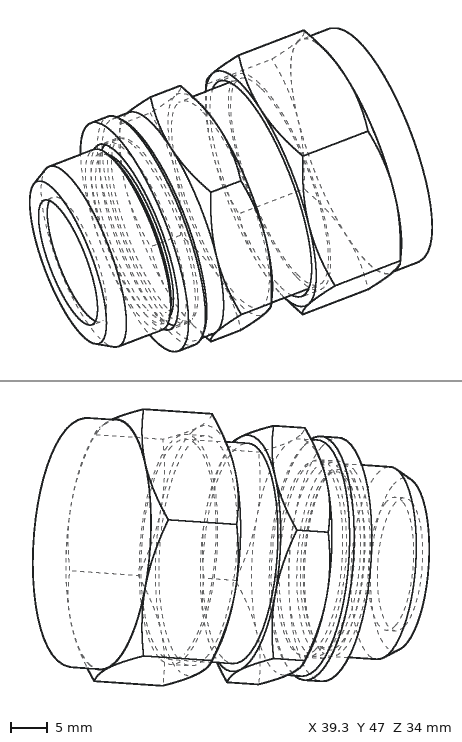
import cadquery as cq
import math

TOTAL_LENGTH = 47.0
TIP_CHAMFER_LENGTH = 2.35
THREAD_END = 9.02
THREAD_RUNOUT_END = 9.5
GROOVE_START = 10.0
COLLAR_START = 11.3
WASHER_START = 10.0
WASHER_THICKNESS = 2.55
FLANGE_START = 13.0
SMALL_HEX_START = 15.55
SMALL_HEX_END = 22.95
LARGE_HEX_START = 29.05
LARGE_HEX_END = 41.92

TIP_RADIUS = 11.75
THREAD_RADIUS = 13.05
RUNOUT_RADIUS = 12.25
GROOVE_RADIUS = 11.95
COLLAR_RADIUS = 13.2
WASHER_RADIUS = 16.55
WASHER_BORE_RADIUS = 13.4
BARREL_RADIUS = 14.95
CAP_RADIUS = 16.9
CAP_FILLET = 1.1

LARGE_HEX_FLATS = 34.0
SMALL_HEX_FLATS = 32.05
FLANGE_RADIUS = SMALL_HEX_FLATS / 2
HEX_SIDES = 6
HEX_HALF_ANGLE = 180 / HEX_SIDES
HEX_CHAMFER_ANGLE = 30.0

TIP_RECESS_RADIUS = 9.02
TIP_RECESS_DEPTH = 1.3
NUT_RECESS_RADIUS = 15.6
NUT_RECESS_DEPTH = 2.8


def revolve_profile(points):
    """Revolve a closed (radius, y) outline about the Y axis."""
    return cq.Workplane("XY").polyline(points).close().revolve(360, (0, 0, 0), (0, 1, 0))


def ring(inner_radius, outer_radius, start, end):
    """Make a plain ring about the Y axis."""
    return revolve_profile([
        (inner_radius, start),
        (outer_radius, start),
        (outer_radius, end),
        (inner_radius, end),
    ])


def chamfered_hexagon(flats, start, end):
    """Make a hexagonal prism with its corners coned off at both ends."""
    corner_radius = flats / 2 / math.cos(math.radians(HEX_HALF_ANGLE))
    flat_radius = flats / 2
    drop = (corner_radius - flat_radius) * math.tan(math.radians(HEX_CHAMFER_ANGLE))
    prism = (
        cq.Workplane("XZ", origin=(0, start, 0))
        .polygon(HEX_SIDES, 2 * corner_radius)
        .extrude(start - end)
    )
    envelope = revolve_profile([
        (0, start),
        (flat_radius, start),
        (corner_radius, start + drop),
        (corner_radius, end - drop),
        (flat_radius, end),
        (0, end),
    ])
    return prism.intersect(envelope)


def make_gland():
    """Make the threaded body with its two hexagons and rounded cap."""
    stem = revolve_profile([
        (0, 0),
        (TIP_RADIUS, 0),
        (THREAD_RADIUS, TIP_CHAMFER_LENGTH),
        (THREAD_RADIUS, THREAD_END),
        (RUNOUT_RADIUS, THREAD_RUNOUT_END),
        (GROOVE_RADIUS, GROOVE_START),
        (COLLAR_RADIUS, COLLAR_START),
        (COLLAR_RADIUS, FLANGE_START),
        (FLANGE_RADIUS, FLANGE_START),
        (FLANGE_RADIUS, SMALL_HEX_START),
        (BARREL_RADIUS, SMALL_HEX_START),
        (BARREL_RADIUS, LARGE_HEX_END),
        (0, LARGE_HEX_END),
    ])
    cap = ring(0, CAP_RADIUS, LARGE_HEX_END, TOTAL_LENGTH).faces(">Y").edges().fillet(CAP_FILLET)
    small_hex = chamfered_hexagon(SMALL_HEX_FLATS, SMALL_HEX_START, SMALL_HEX_END)
    large_hex = chamfered_hexagon(LARGE_HEX_FLATS, LARGE_HEX_START, LARGE_HEX_END)

    nut_recess = ring(
        0, NUT_RECESS_RADIUS, LARGE_HEX_START, LARGE_HEX_START + NUT_RECESS_DEPTH
    )
    tip_recess = ring(0, TIP_RECESS_RADIUS, 0, TIP_RECESS_DEPTH)
    large_nut = large_hex.cut(nut_recess)
    return large_nut.union(stem).union(cap).union(small_hex).cut(tip_recess)


def make_washer():
    """Make the loose sealing washer around the collar."""
    return ring(WASHER_BORE_RADIUS, WASHER_RADIUS, WASHER_START, WASHER_START + WASHER_THICKNESS)


gland = make_gland()
washer = make_washer()
result = cq.Compound.makeCompound([gland.val(), washer.val()])